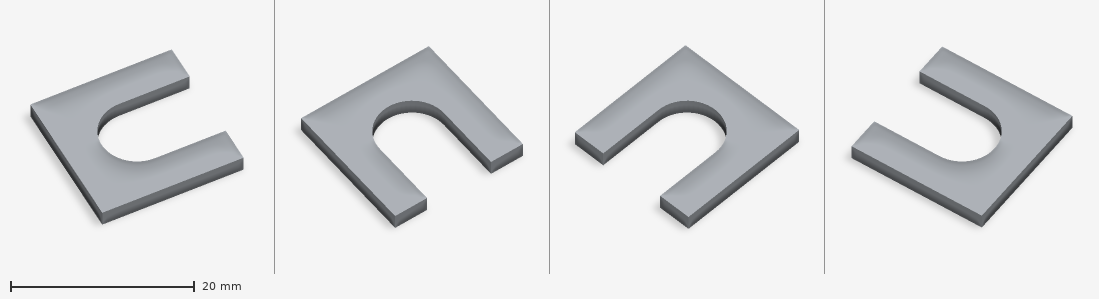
import cadquery as cq

side = 17.27
thickness = 2.0

slot_width = side / 2
slot_radius = slot_width / 2

plate = cq.Workplane("XY").box(side, side, thickness)

slot = (
    cq.Workplane("XY")
    .moveTo(-slot_radius, side / 2)
    .lineTo(-slot_radius, 0)
    .threePointArc((0, -slot_radius), (slot_radius, 0))
    .lineTo(slot_radius, side / 2)
    .close()
    .extrude(thickness / 2, both=True)
)

result = plate.cut(slot)